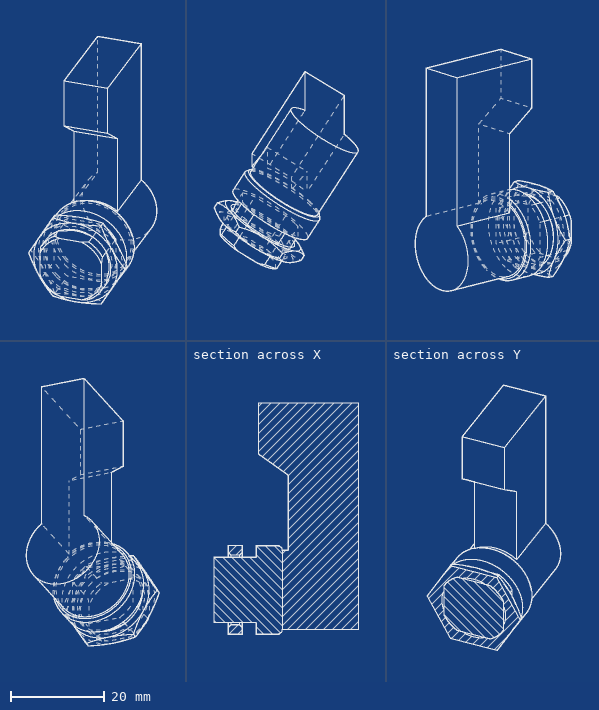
import cadquery as cq
import math

barrel_radius = 8.5
barrel_length = 16.4

arm_width = 9.95
arm_top = 40.0
neck_depth = 15.1
head_depth = 21.45
head_height = 10.95
slope_height = 4.5

collar_radius = 9.5
collar_length = 5.55
collar_chamfer_radial = 0.55
collar_chamfer_axial = 0.7

shank_radius = 8.0
shank_length = 9.05
shank_flats = 14.0
thread_depth = 0.6

nut_across_flats = 2 * collar_radius
nut_thickness = 3.0
nut_gap = 2.95
nut_chamfer_angle = 30

collar_front = barrel_length + collar_length
nut_rear = collar_front + nut_gap
nut_front = nut_rear + nut_thickness
nut_bore_radius = shank_radius - thread_depth


def cylinder(radius, rear, length):
    """Cylinder on the Y axis, starting at distance rear from the rear face."""
    return cq.Workplane("XZ", origin=(0, -rear, 0)).circle(radius).extrude(length)


def make_handle():
    """Round barrel with a flat-sided arm that has a thicker head."""
    head_bottom = arm_top - head_height
    arm = (
        cq.Workplane("YZ")
        .polyline([
            (0, 0),
            (0, arm_top),
            (-head_depth, arm_top),
            (-head_depth, head_bottom),
            (-neck_depth, head_bottom - slope_height),
            (-neck_depth, 0),
        ])
        .close()
        .extrude(arm_width / 2, both=True)
    )
    return cylinder(barrel_radius, 0, barrel_length).union(arm)


def make_shank():
    """Round shank with four flats and a chamfered front end."""
    round_bar = cylinder(shank_radius, collar_front, shank_length).faces("<Y").chamfer(thread_depth)
    square_bar = (
        cq.Workplane("XZ", origin=(0, -collar_front, 0))
        .rect(shank_flats, shank_flats)
        .extrude(shank_length)
    )
    return round_bar.intersect(square_bar)


def make_housing(shank):
    """Collar with a chamfered rear rim, and the shank in front of it."""
    rim_radius = collar_radius - collar_chamfer_radial
    chamfer_front = barrel_length + collar_chamfer_axial
    collar = (
        cq.Workplane("XY")
        .polyline([
            (0, -barrel_length),
            (rim_radius, -barrel_length),
            (collar_radius, -chamfer_front),
            (collar_radius, -collar_front),
            (0, -collar_front),
        ])
        .close()
        .revolve(360, (0, 0, 0), (0, 1, 0))
    )
    return collar.union(shank)


def make_nut(shank):
    """Hexagon nut, chamfered on both faces, whose bore fits the shank."""
    corner_radius = nut_across_flats / math.sqrt(3)
    face_radius = nut_across_flats / 2
    corner_drop = (corner_radius - face_radius) * math.tan(math.radians(nut_chamfer_angle))
    hexagon = (
        cq.Workplane("XZ", origin=(0, -nut_rear, 0))
        .polygon(6, 2 * corner_radius)
        .extrude(nut_thickness)
    )
    envelope = (
        cq.Workplane("XY")
        .polyline([
            (shank_radius, -nut_rear),
            (face_radius, -nut_rear),
            (corner_radius, -nut_rear - corner_drop),
            (corner_radius, -nut_front + corner_drop),
            (face_radius, -nut_front),
            (shank_radius, -nut_front),
            (nut_bore_radius, -nut_front + thread_depth),
            (nut_bore_radius, -nut_rear - thread_depth),
        ])
        .close()
        .revolve(360, (0, 0, 0), (0, 1, 0))
    )
    return hexagon.intersect(envelope).cut(shank)


shank = make_shank()
handle = make_handle()
housing = make_housing(shank)
nut = make_nut(shank)

bodies = [handle, housing, nut]
result = cq.Compound.makeCompound([body.solids().val() for body in bodies])